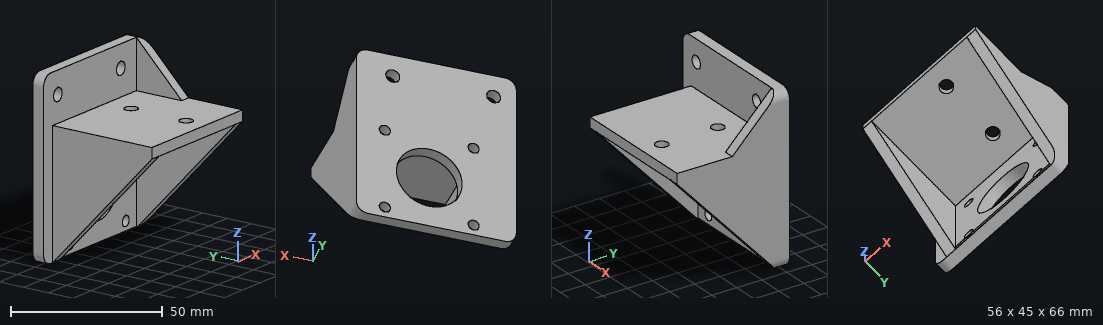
import cadquery as cq

plate_width = 56.0
plate_height = 66.0
plate_thickness = 4.5
corner_radius = 4.0

total_depth = 45.0
wall = 4.0
shelf_depth = total_depth - plate_thickness
shelf_left = 5.0
shelf_width = plate_width - shelf_left
shelf_top = 47.5
shelf_bottom = shelf_top - wall
lip_height = 0.5
upper_rib_reach = plate_height - shelf_top

screw_diameter = 4.8
plate_screw_xs = (8.0, 43.2)
plate_screw_z = 57.5
shelf_screw_x = 35.25
shelf_screw_ys = (-10.0, -32.5)

motor_x = shelf_left + shelf_width / 2
motor_z = 19.5
motor_bore_diameter = 23.0
motor_screw_pitch = 31.0
motor_screw_diameter = 3.8


def rounded_block(y_front, y_back):
    """Block with the plate's rounded outline, between two Y positions."""
    return (
        cq.Workplane("XY")
        .box(plate_width, y_back - y_front, plate_height, centered=False)
        .translate((0, y_front, 0))
        .edges("|Y")
        .fillet(corner_radius)
    )


def rib(x_left, profile, width=wall):
    """Solid with the given (Y, Z) profile, running along X from x_left."""
    return cq.Workplane("YZ", origin=(x_left, 0, 0)).polyline(profile).close().extrude(width)


def holes_through_plate(centres, diameter):
    """Cylinders along Y through the plate at the given (X, Z) centres."""
    return (
        cq.Workplane("XZ", origin=(0, plate_thickness, 0))
        .pushPoints(centres)
        .circle(diameter / 2)
        .extrude(plate_thickness)
    )


plate = rounded_block(0, plate_thickness)
shelf = cq.Workplane("XY").box(shelf_width, shelf_depth, wall, centered=False)
shelf = shelf.translate((shelf_left, -shelf_depth, shelf_bottom))

lower_profile = [(0, 0), (0, shelf_top), (-shelf_depth, shelf_top), (-shelf_depth, shelf_bottom)]
upper_profile = [(0, shelf_top), (0, plate_height), (-upper_rib_reach, shelf_top)]
right_rib_left = plate_width - wall
ribs = rib(shelf_left, lower_profile)
ribs = ribs.union(rib(right_rib_left, lower_profile))
ribs = ribs.union(rib(right_rib_left, upper_profile))

lip_reach = lip_height * shelf_depth / shelf_bottom
lip_profile = [(0, 0), (0, lip_height), (-lip_reach, lip_height)]
ribs = ribs.union(rib(shelf_left, lip_profile, shelf_width))

ribs = ribs.intersect(rounded_block(-shelf_depth, 0))
body = plate.union(shelf).union(ribs)

plate_screw_centres = [(x, plate_screw_z) for x in plate_screw_xs]
half_pitch = motor_screw_pitch / 2
motor_screw_centres = [
    (motor_x + side * half_pitch, motor_z + level * half_pitch)
    for side in (-1, 1)
    for level in (-1, 1)
]
body = body.cut(holes_through_plate(plate_screw_centres, screw_diameter))
body = body.cut(holes_through_plate(motor_screw_centres, motor_screw_diameter))
body = body.cut(holes_through_plate([(motor_x, motor_z)], motor_bore_diameter))

shelf_holes = (
    cq.Workplane("XY", origin=(0, 0, shelf_bottom))
    .pushPoints([(shelf_screw_x, y) for y in shelf_screw_ys])
    .circle(screw_diameter / 2)
    .extrude(wall)
)
result = body.cut(shelf_holes)